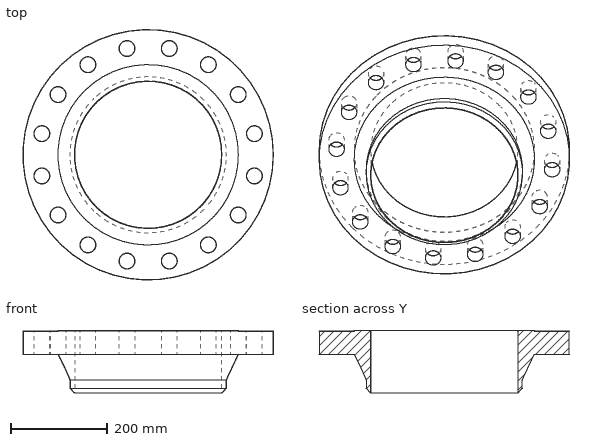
import cadquery as cq

flange_diameter = 520.5
total_height = 130.0
bore_diameter = 305.0

face_diameter = 375.0
face_height = 1.5

flange_thickness = 48.5

bolt_count = 16
bolt_circle_diameter = 450.5
bolt_hole_diameter = 32.5

hub_diameter = 375.0
neck_diameter = 325.0
neck_length = 27.0
bevel_height = 10.0
bevel_width = 9.0

flange_top = total_height - face_height
flange_bottom = flange_top - flange_thickness


def make_body():
    """Revolve the stepped half section about Z."""
    bore_radius = bore_diameter / 2
    flange_radius = flange_diameter / 2
    face_radius = face_diameter / 2
    neck_radius = neck_diameter / 2
    section = [
        (bore_radius, 0),
        (neck_radius - bevel_width, 0),
        (neck_radius, bevel_height),
        (neck_radius, neck_length),
        (hub_diameter / 2, flange_bottom),
        (flange_radius, flange_bottom),
        (flange_radius, flange_top),
        (face_radius, flange_top),
        (face_radius, total_height),
        (bore_radius, total_height),
    ]
    return cq.Workplane("XZ").polyline(section).close().revolve(360, (0, 0, 0), (0, 1, 0))


def make_bolt_holes():
    """Through holes straddling the X and Y axes by half a pitch."""
    half_pitch = 360 / bolt_count / 2
    return (
        cq.Workplane("XY")
        .polarArray(bolt_circle_diameter / 2, half_pitch, 360, bolt_count)
        .circle(bolt_hole_diameter / 2)
        .extrude(total_height)
    )


result = make_body().cut(make_bolt_holes())